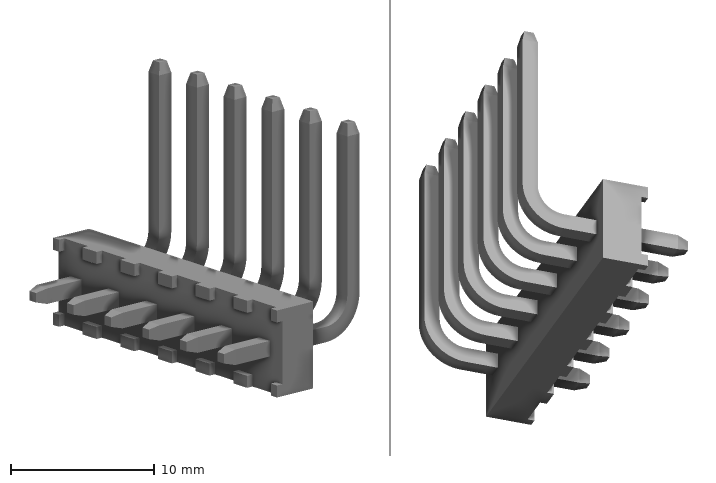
import cadquery as cq
import math


housing_length = 23.62
housing_depth = 3.35
housing_height = 6.33
recess_depth = 0.5
lip_height = 0.87

pin_count = 6
pin_pitch = 3.97
pin_width = 1.13
overall_depth = 12.38
overall_height = 18.02
rear_reach = 5.48
bend_inner_radius = 1.94

tip_length = 0.85
tip_width = 0.68

notch_width = 2.5

housing_bottom = -housing_height / 2
half_pin = pin_width / 2
leg_y = rear_reach - half_pin
front_tip_y = rear_reach - overall_depth
leg_top_z = housing_bottom + overall_height
bend_radius = bend_inner_radius + half_pin
pin_positions = [(i - (pin_count - 1) / 2) * pin_pitch for i in range(pin_count)]


def front_block(length, depth, height, bottom_z):
    """Block centred on x = 0, with one side on the front face plane of the housing."""
    block = cq.Workplane("XY").box(length, depth, height, centered=(True, False, False))
    return block.translate((0, -housing_depth, bottom_z))


def make_housing():
    body = front_block(housing_length, housing_depth, housing_height, housing_bottom)
    recess_height = housing_height - 2 * lip_height
    body = body.cut(front_block(housing_length, recess_depth, recess_height, housing_bottom + lip_height))
    notch = front_block(notch_width, recess_depth, housing_height, housing_bottom)
    for x in pin_positions:
        body = body.cut(notch.translate((x, 0, 0)))
    return body


def make_tip(base_plane):
    """Square end tapering from the pin section to the tip, along the plane normal."""
    return (
        base_plane.rect(pin_width, pin_width)
        .workplane(offset=tip_length)
        .rect(tip_width, tip_width)
        .loft(ruled=True)
    )


def make_pin():
    """Pin at x = 0: a horizontal contact, a quarter bend and a vertical leg."""
    contact_end_y = front_tip_y + tip_length
    leg_end_z = leg_top_z - tip_length
    bend_start_y = leg_y - bend_radius
    outer_y = leg_y + half_pin
    inner_y = leg_y - half_pin
    outer_radius = bend_inner_radius + pin_width
    diagonal = math.sqrt(0.5)
    outer_mid = (bend_start_y + outer_radius * diagonal, bend_radius - outer_radius * diagonal)
    inner_mid = (bend_start_y + bend_inner_radius * diagonal, bend_radius - bend_inner_radius * diagonal)
    shaft = (
        cq.Workplane("YZ")
        .moveTo(contact_end_y, -half_pin)
        .lineTo(bend_start_y, -half_pin)
        .threePointArc(outer_mid, (outer_y, bend_radius))
        .lineTo(outer_y, leg_end_z)
        .lineTo(inner_y, leg_end_z)
        .lineTo(inner_y, bend_radius)
        .threePointArc(inner_mid, (bend_start_y, half_pin))
        .lineTo(contact_end_y, half_pin)
        .close()
        .extrude(half_pin, both=True)
    )
    front_tip = make_tip(cq.Workplane("XZ", origin=(0, contact_end_y, 0)))
    leg_tip = make_tip(cq.Workplane("XY", origin=(0, leg_y, leg_end_z)))
    return shaft.union(front_tip).union(leg_tip)


result = make_housing()
pin = make_pin()
for x in pin_positions:
    result = result.union(pin.translate((x, 0, 0)))